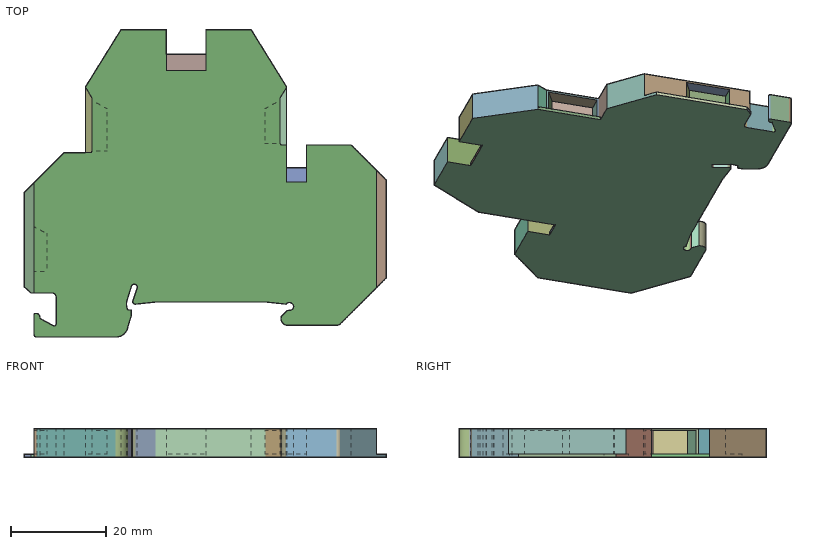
import cadquery as cq

length = 76.0
width = 64.5
thickness = 6.1
plate_thickness = 0.7

side_recess = 2.05
left_shoulder_x = 8.35
left_shoulder_y = 38.75
left_end_bottom = 9.3
left_end_chamfer_x = 1.45
left_end_chamfer_y = 1.3
right_shoulder_x = 68.6
right_shoulder_y = 40.35
right_foot_y = 2.5
right_foot_end_x = 66.05
hook_slot_x = 6.7
hook_slot_y = 2.1
foot_tip_y = 5.0

tower_center_x = 34.0
tower_half_width = 21.1
tower_half_top = 13.7
tower_corner_y = 52.5
tower_recess = 1.4
tower_recess_y = 50.2
tower_left = tower_center_x - tower_half_width
tower_right = tower_center_x + tower_half_width

top_notch_width = 8.3
top_notch_floor = 55.9
top_notch_ledge = 3.5
right_notch_width = 4.1
right_notch_floor = 32.6
right_notch_ledge = 3.0

pocket_top = 5.6
lower_pocket_bottom_y = 13.75
lower_pocket_top_y = 23.2
lower_pocket_depth = 2.7
lower_pocket_taper = 1.45
upper_pocket_top_y = 49.7
upper_pocket_depth = 3.2
upper_pocket_taper = 1.75

seat_y = 7.4
seat_edge_y = 6.9
seat_flat_start = 27.7
seat_flat_end = 50.7

foot_arc_start_x = 19.2
foot_side_x = 22.5
foot_side_bottom = 4.5
foot_side_top = 5.7
slot_bend_y = 7.7
slot_bend_left = 21.6
slot_bend_right = 22.8

nose_x = 53.95
nose_y = 4.4
nose_arc_end_x = 55.0
seat_overhang = 1.0
undercut_x = 56.5

foot_radius = 0.6
hook_slot_radius = 0.8
hook_radius = 0.4
foot_tip_radius = 0.3
right_foot_radius = 1.0
recess_radius = 0.3


def prism(points, bottom, top):
    """Upright prism over a closed polygon."""
    return cq.Workplane("XY").workplane(offset=bottom).polyline(points).close().extrude(top - bottom)


def block(x_min, x_max, y_min, y_max, bottom, top):
    """Box given by its limits."""
    size = (x_max - x_min, y_max - y_min, top - bottom)
    return cq.Workplane("XY").box(*size, centered=False).translate((x_min, y_min, bottom))


def make_outline():
    """Outer shape at full thickness, without the two notches."""
    right_slope = length - right_shoulder_x
    right_end_bottom = right_foot_y + length - right_foot_end_x
    left_end_top = left_shoulder_y - left_shoulder_x
    return (
        cq.Workplane("XY")
        .moveTo(side_recess, 0)
        .lineTo(foot_arc_start_x, 0)
        .threePointArc((21.0, 0.7), (21.8, 2.3))
        .lineTo(foot_side_x, foot_side_bottom)
        .lineTo(foot_side_x, foot_side_top)
        .lineTo(21.7, 5.8)
        .threePointArc((21.5, 6.7), (slot_bend_left, slot_bend_y))
        .lineTo(22.5, 10.6)
        .threePointArc((23.2, 11.1), (23.7, 10.4))
        .lineTo(slot_bend_right, slot_bend_y)
        .threePointArc((22.9, 7.15), (23.4, seat_edge_y))
        .lineTo(seat_flat_start, seat_y)
        .lineTo(seat_flat_end, seat_y)
        .lineTo(nose_x + seat_overhang, seat_edge_y)
        .threePointArc((55.9, 7.2), (undercut_x, 6.7))
        .threePointArc((56.4, 6.0), (55.85, 5.7))
        .lineTo(55.2, 5.6)
        .lineTo(nose_x, nose_y)
        .threePointArc((54.0, 3.3), (nose_arc_end_x, right_foot_y))
        .lineTo(right_foot_end_x, right_foot_y)
        .lineTo(length, right_end_bottom)
        .lineTo(length, right_shoulder_y - right_slope)
        .lineTo(right_shoulder_x, right_shoulder_y)
        .lineTo(tower_right, right_shoulder_y)
        .lineTo(tower_right, tower_corner_y)
        .lineTo(tower_center_x + tower_half_top, width)
        .lineTo(tower_center_x - tower_half_top, width)
        .lineTo(tower_left, tower_corner_y)
        .lineTo(tower_left, left_shoulder_y)
        .lineTo(left_shoulder_x, left_shoulder_y)
        .lineTo(0, left_end_top)
        .lineTo(0, left_end_bottom + left_end_chamfer_y)
        .lineTo(left_end_chamfer_x, left_end_bottom)
        .lineTo(hook_slot_x, left_end_bottom)
        .lineTo(hook_slot_x, hook_slot_y)
        .lineTo(3.35, 3.95)
        .threePointArc((3.2, 4.6), (2.65, foot_tip_y))
        .lineTo(side_recess, foot_tip_y)
        .close()
        .extrude(thickness)
    )


def round_upright(body, x, y, radius):
    """Round the full height edge standing at (x, y)."""
    reach = 0.1
    selector = cq.selectors.BoxSelector(
        (x - reach, y - reach, -reach), (x + reach, y + reach, thickness + reach)
    )
    return body.edges("|Z").edges(selector).fillet(radius)


def notch(x_min, x_max, floor_y, ledge, top_y):
    """Notch open upwards in Y that leaves a ledge of the base plate at its floor."""
    above_plate = block(x_min, x_max, floor_y, top_y, plate_thickness, thickness)
    through = block(x_min, x_max, floor_y + ledge, top_y, 0, thickness)
    return above_plate.union(through)


def end_recess(x_min, x_max):
    """Set-back of an end face above the base plate."""
    return block(x_min, x_max, 0, width, plate_thickness, thickness)


def tower_side_recess(side, bottom_y):
    """Set-back of a tower side above the base plate; side is -1 for left, 1 for right."""
    outer_x = tower_center_x + side * tower_half_width
    inner_x = outer_x - side * tower_recess
    points = [
        (outer_x, tower_corner_y),
        (inner_x, tower_recess_y),
        (inner_x, bottom_y),
        (outer_x, bottom_y),
    ]
    recess = prism(points, plate_thickness, thickness)
    inner_edge = cq.selectors.NearestToPointSelector((inner_x, bottom_y, thickness / 2))
    return recess.edges("|Z").edges(inner_edge).fillet(recess_radius)


def wire_pocket(face_x, inward, bottom_y, top_y, depth, taper):
    """Pocket sunk from an upright face, with its +Y wall slanting inwards."""
    inner_x = face_x + inward * depth
    points = [
        (face_x, bottom_y),
        (face_x, top_y),
        (inner_x, top_y - taper),
        (inner_x, bottom_y),
    ]
    return prism(points, plate_thickness, pocket_top)


body = make_outline()
rounded_corners = (
    (side_recess, 0, foot_radius),
    (side_recess, foot_tip_y, foot_tip_radius),
    (hook_slot_x, left_end_bottom, hook_slot_radius),
    (hook_slot_x, hook_slot_y, hook_radius),
    (right_foot_end_x, right_foot_y, right_foot_radius),
)
for corner_x, corner_y, radius in rounded_corners:
    body = round_upright(body, corner_x, corner_y, radius)

half_notch = top_notch_width / 2
body = body.cut(
    notch(tower_center_x - half_notch, tower_center_x + half_notch, top_notch_floor, top_notch_ledge, width)
)
body = body.cut(
    notch(tower_right, tower_right + right_notch_width, right_notch_floor, right_notch_ledge, right_shoulder_y)
)

body = body.cut(end_recess(0, side_recess))
body = body.cut(end_recess(length - side_recess, length))

for side, shoulder_y in ((-1, left_shoulder_y), (1, right_shoulder_y)):
    recessed_face = tower_center_x + side * (tower_half_width - tower_recess)
    body = body.cut(tower_side_recess(side, shoulder_y))
    body = body.cut(
        wire_pocket(
            recessed_face, -side, shoulder_y + recess_radius,
            upper_pocket_top_y, upper_pocket_depth, upper_pocket_taper,
        )
    )

result = body.cut(
    wire_pocket(
        side_recess, 1, lower_pocket_bottom_y,
        lower_pocket_top_y, lower_pocket_depth, lower_pocket_taper,
    )
)